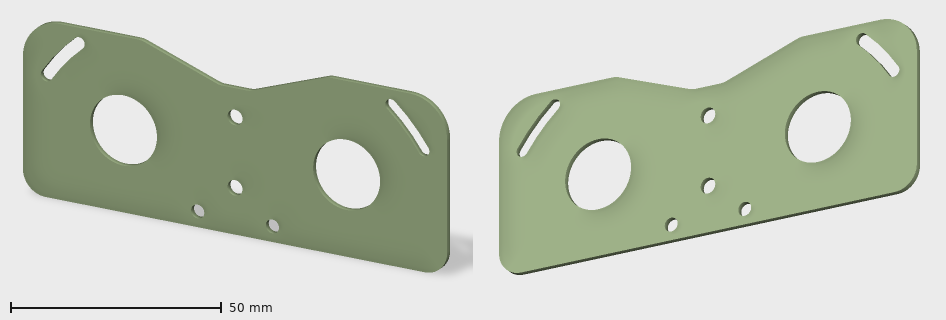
import cadquery as cq
import math

width = 114.0
height = 45.0
thickness = 1.5
top_corner_radius = 10.0
bottom_corner_radius = 6.0

notch_top_half_width = 25.2
notch_floor_half_width = 4.2
notch_depth = 7.5
notch_blend_radius = 5.0

large_hole_diameter = 18.0
large_hole_x = 30.0
large_hole_z = 21.0
center_hole_diameter = 4.0
center_hole_heights = (12.0, 30.0)
lower_hole_diameter = 3.5
lower_hole_x = 10.0
lower_hole_z = 4.0

slot_radius = 48.9
slot_width = 3.1
slot_start_angle = 33.8
slot_end_angle = 49.3


def make_plate():
    """Rounded plate with a shallow, blended notch in its upper edge."""
    half_width = width / 2
    notch_floor_z = height - notch_depth
    blank = (
        cq.Workplane("XZ")
        .polyline([
            (-half_width, 0),
            (half_width, 0),
            (half_width, height),
            (notch_top_half_width, height),
            (notch_floor_half_width, notch_floor_z),
            (-notch_floor_half_width, notch_floor_z),
            (-notch_top_half_width, height),
            (-half_width, height),
        ])
        .close()
        .extrude(thickness / 2, both=True)
    )

    def round_pair(body, x, z, radius):
        """Round the two mirrored through-thickness edges at (+/-x, z)."""
        for side in (-1, 1):
            corner = cq.selectors.NearestToPointSelector((side * x, 0, z))
            body = body.edges(corner).fillet(radius)
        return body

    plate = round_pair(blank, half_width, height, top_corner_radius)
    plate = round_pair(plate, half_width, 0, bottom_corner_radius)
    plate = round_pair(plate, notch_top_half_width, height, notch_blend_radius)
    return round_pair(plate, notch_floor_half_width, notch_floor_z, notch_blend_radius)


def hole_cutter(points, diameter):
    """Through-thickness cylinders at the given (x, z) points."""
    return cq.Workplane("XZ").pushPoints(points).circle(diameter / 2).extrude(thickness, both=True)


def slot_cutter(side):
    """Round-ended arc slot on the left (-1) or right (+1) side."""
    inner_radius = slot_radius - slot_width / 2
    outer_radius = slot_radius + slot_width / 2
    middle_angle = (slot_start_angle + slot_end_angle) / 2
    cap_angle = math.degrees(slot_width / 2 / slot_radius)

    def at(radius, angle):
        turn = math.radians(angle)
        x = lower_hole_x + radius * math.cos(turn)
        return (side * x, lower_hole_z + radius * math.sin(turn))

    return (
        cq.Workplane("XZ")
        .moveTo(*at(inner_radius, slot_start_angle))
        .threePointArc(at(inner_radius, middle_angle), at(inner_radius, slot_end_angle))
        .threePointArc(at(slot_radius, slot_end_angle + cap_angle), at(outer_radius, slot_end_angle))
        .threePointArc(at(outer_radius, middle_angle), at(outer_radius, slot_start_angle))
        .threePointArc(at(slot_radius, slot_start_angle - cap_angle), at(inner_radius, slot_start_angle))
        .close()
        .extrude(thickness, both=True)
    )


large_holes = [(-large_hole_x, large_hole_z), (large_hole_x, large_hole_z)]
center_holes = [(0, z) for z in center_hole_heights]
lower_holes = [(-lower_hole_x, lower_hole_z), (lower_hole_x, lower_hole_z)]

result = make_plate()
result = result.cut(hole_cutter(large_holes, large_hole_diameter))
result = result.cut(hole_cutter(center_holes, center_hole_diameter))
result = result.cut(hole_cutter(lower_holes, lower_hole_diameter))
for slot_side in (-1, 1):
    result = result.cut(slot_cutter(slot_side))